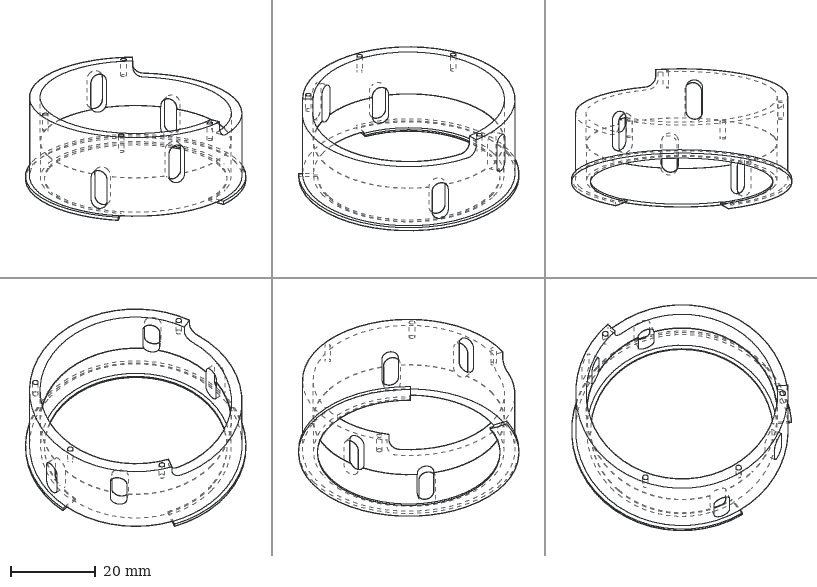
import cadquery as cq
import math

height = 20.9
flange_diameter = 52.0
lip_diameter = 43.05
flange_thickness = 0.85
lip_thickness = 0.4

wall_diameter = 50.1
upper_bore = 45.1
lower_bore = 44.9
bore_step_height = 9.55

rim_end_angles = (-17.6, 112.0)
rim_drop = 4.05
rim_fillet = 2.5

flange_gap_angles = (-78.9, -17.0)

pin_hole_diameter = 1.3
pin_hole_depth = 4.15
pin_circle_diameter = 47.5
pin_angles = (117.2, -22.5, -78.0, -133.4)

slot_width = 3.95
slot_length = 9.55
slots = ((-90.0, 7.0), (-46.9, 13.4))

cut_radius = flange_diameter


def disc(diameter, bottom, top):
    """Solid cylinder on the Z axis between two heights."""
    return cq.Workplane("XY").workplane(offset=bottom).circle(diameter / 2).extrude(top - bottom)


def polar(radius, angle):
    """Point at a radius and an angle in degrees."""
    return (radius * math.cos(math.radians(angle)), radius * math.sin(math.radians(angle)))


def sector(start, end, bottom, top):
    """Wedge from start to end angle, less than half a turn, reaching past the flange."""
    corners = [(0, 0)] + [polar(cut_radius, a) for a in (start, (start + end) / 2, end)]
    return cq.Workplane("XY").workplane(offset=bottom).polyline(corners).close().extrude(top - bottom)


def make_wall():
    wall = disc(wall_diameter, 0, height)
    wall = wall.cut(disc(lower_bore, 0, bore_step_height))
    return wall.cut(disc(upper_bore, bore_step_height, height))


def make_flange():
    """Outer flange with a thinner lip reaching inside the bore."""
    outer = disc(flange_diameter, 0, flange_thickness).cut(disc(lower_bore, 0, flange_thickness))
    lip = disc(wall_diameter, 0, lip_thickness).cut(disc(lip_diameter, 0, lip_thickness))
    return outer.union(lip)


def make_rim_cut():
    """Wedge above the lowered wall, its two bottom edges rounded."""
    wedge = sector(*rim_end_angles, height - rim_drop, height)
    floor = height - rim_drop
    end_edges = wedge.newObject([])
    for angle in rim_end_angles:
        edge_middle = (*polar(cut_radius / 2, angle), floor)
        end_edges = end_edges.add(wedge.edges(cq.NearestToPointSelector(edge_middle)))
    return end_edges.fillet(rim_fillet)


def make_slot(direction, centre_height):
    """Upright slot through both sides of the wall."""
    plane = cq.Plane(
        origin=(0, 0, centre_height),
        xDir=(*polar(1, direction + 90), 0),
        normal=(*polar(1, direction), 0),
    )
    return cq.Workplane(plane).slot2D(slot_length, slot_width, 90).extrude(cut_radius, both=True)


def make_pin_holes():
    points = [polar(pin_circle_diameter / 2, angle) for angle in pin_angles]
    top = cq.Workplane("XY").workplane(offset=height)
    return top.pushPoints(points).circle(pin_hole_diameter / 2).extrude(-pin_hole_depth)


result = make_wall().union(make_flange())
result = result.cut(sector(*flange_gap_angles, 0, flange_thickness))
result = result.cut(make_rim_cut())
for slot in slots:
    result = result.cut(make_slot(*slot))
result = result.cut(make_pin_holes())